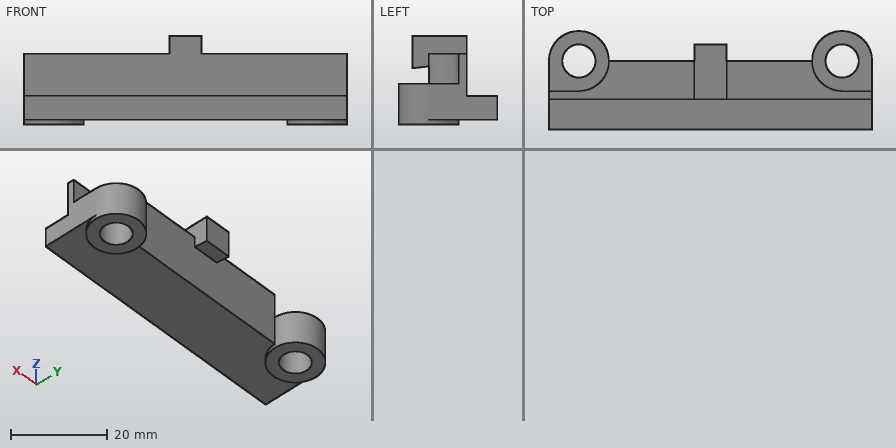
import cadquery as cq

length = 67.15
depth = 20.5
height = 18.45

pad_height = 1.0
flange_top = 6.0
body_top = 14.8
wall_front = 6.3

lug_radius = 6.25
lug_top = 8.5
hole_diameter = 6.85
lug_y = depth - lug_radius
lug_centers_x = (lug_radius, length - lug_radius)
body_back = lug_y

tab_width = 6.7
tab_back = 17.65
hook_root_z = 12.1
hook_tip_z = 11.7


def lug_cylinder(center_x, bottom, top):
    """Upright cylinder with the lug radius."""
    return (
        cq.Workplane("XY", origin=(center_x, lug_y, bottom))
        .circle(lug_radius)
        .extrude(top - bottom)
    )


def lug_clearance(center_x, end_x):
    """Space above a lug: its round outline, squared off towards the bar end."""
    square_part = (
        cq.Workplane("XY", origin=((center_x + end_x) / 2, lug_y, lug_top))
        .rect(lug_radius, 2 * lug_radius)
        .extrude(body_top - lug_top)
    )
    return lug_cylinder(center_x, lug_top, body_top).union(square_part)


body = (
    cq.Workplane("YZ")
    .polyline([
        (0, pad_height),
        (body_back, pad_height),
        (body_back, body_top),
        (wall_front, body_top),
        (wall_front, flange_top),
        (0, flange_top),
    ])
    .close()
    .extrude(length)
)

for center_x, end_x in zip(lug_centers_x, (0, length)):
    body = body.cut(lug_clearance(center_x, end_x))
    body = body.union(lug_cylinder(center_x, 0, lug_top))

tab = (
    cq.Workplane("YZ", origin=((length - tab_width) / 2, 0, 0))
    .polyline([
        (wall_front, hook_root_z),
        (body_back, hook_root_z),
        (tab_back, hook_tip_z),
        (tab_back, height),
        (wall_front, height),
    ])
    .close()
    .extrude(tab_width)
)

holes = (
    cq.Workplane("XY")
    .pushPoints([(center_x, lug_y) for center_x in lug_centers_x])
    .circle(hole_diameter / 2)
    .extrude(lug_top)
)

result = body.union(tab).cut(holes)